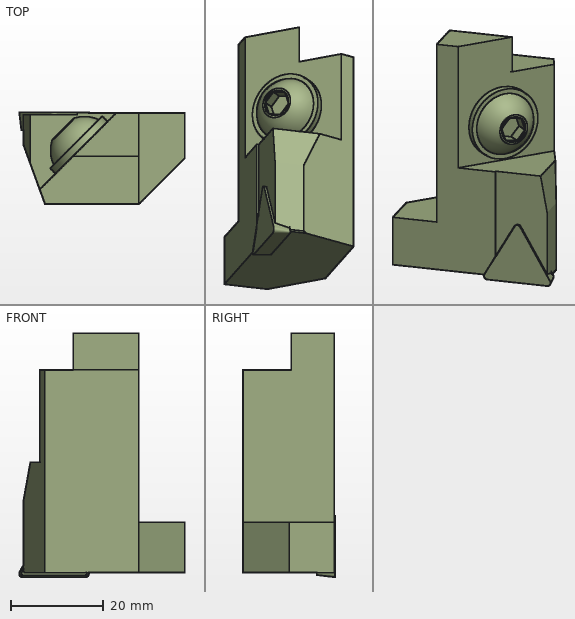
import cadquery as cq
import math


depth = 19.8
flange_length = 10.0
flange_height = 10.95
body_height = 44.0
total_height = 52.0
tenon_depth = 9.4
nose_left = -25.0
nose_face_depth = 7.0
relief_angle = 20.0
ledge_height = 24.0
ledge_left = -23.55
slant_start_height = 15.75
corner_cut_width = 0.2
corner_cut_height = 0.35
chip_recess_depth = 0.4
chip_recess_right = -13.35
front_left = nose_left + (depth - nose_face_depth) * math.tan(math.radians(relief_angle))

seat_back_x = -4.9
screw_depth = 7.55
screw_height = 32.9

collar_diameter = 16.0
collar_height = 1.65
dome_diameter = 13.9
dome_height = 4.05
dome_flat_diameter = 6.75
socket_diameter = 5.8
socket_depth = 2.95
socket_turn = -12.0
socket_chamfer = 0.15

insert_inradius = 4.7
insert_nose_radius = 0.8
insert_thickness = 4.0
insert_clearance = 7.0
insert_back = 0.15
insert_overhang = 1.0
insert_left = -26.0


def block(x_min, x_max, y_min, y_max, z_min, z_max):
    return cq.Workplane("XY").box(
        x_max - x_min, y_max - y_min, z_max - z_min, centered=False
    ).translate((x_min, y_min, z_min))


def make_holder_block():
    body = (
        cq.Workplane("XY")
        .polyline([
            (0, 0), (nose_left, 0), (nose_left, -nose_face_depth), (front_left, -depth), (0, -depth),
        ])
        .close()
        .extrude(total_height)
    )
    flange = (
        cq.Workplane("XY")
        .polyline([(0, 0), (flange_length, 0), (flange_length, flange_length - depth), (0, -depth)])
        .close()
        .extrude(flange_height)
    )
    above_body = block(nose_left, 0, -depth, -tenon_depth, body_height, total_height)
    return body.cut(above_body).union(flange)


def cut_inclined_seat(holder):
    seat_run = seat_back_x - nose_left
    space = (
        cq.Workplane("XY")
        .workplane(offset=ledge_height)
        .polyline([(seat_back_x, 0), (nose_left, 0), (nose_left, -seat_run)])
        .close()
        .extrude(total_height - ledge_height)
    )
    return holder.cut(space)


def cut_nose(holder):
    lean = (
        cq.Workplane("XZ")
        .polyline([(nose_left, slant_start_height), (nose_left, ledge_height), (ledge_left, ledge_height)])
        .close()
        .extrude(depth)
    )
    corner = (
        cq.Workplane("XZ")
        .polyline([(nose_left, 0), (nose_left, corner_cut_height), (nose_left + corner_cut_width, 0)])
        .close()
        .extrude(depth)
    )
    chip_recess = block(nose_left, chip_recess_right, -chip_recess_depth, 0, 0, ledge_height)
    return holder.cut(lean).cut(corner).cut(chip_recess)


def make_screw_head():
    seat = cq.Plane(
        origin=(seat_back_x - screw_depth, -screw_depth, screw_height),
        xDir=(-1, -1, 0),
        normal=(-1, 1, 0),
    )
    dome_radius = dome_diameter / 2
    flat_radius = dome_flat_diameter / 2
    centre = (dome_height**2 + flat_radius**2 - dome_radius**2) / (2 * dome_height)
    sphere_radius = math.hypot(dome_radius, centre)
    middle = dome_height / 2
    middle_radius = math.sqrt(sphere_radius**2 - (middle - centre) ** 2)
    head_height = collar_height + dome_height

    collar = cq.Workplane(seat).circle(collar_diameter / 2).extrude(collar_height)
    dome = (
        cq.Workplane(cq.Plane(seat.origin, seat.xDir, -seat.yDir))
        .moveTo(0, collar_height)
        .lineTo(dome_radius, collar_height)
        .threePointArc((middle_radius, collar_height + middle), (flat_radius, head_height))
        .lineTo(0, head_height)
        .close()
        .revolve(360, (0, 0), (0, 1))
    )
    socket = (
        cq.Workplane(seat)
        .workplane(offset=head_height - socket_depth)
        .transformed(rotate=(0, 0, socket_turn))
        .polygon(6, socket_diameter)
        .extrude(socket_depth)
    )
    countersink = (
        cq.Workplane(seat)
        .workplane(offset=head_height)
        .circle(socket_diameter / 2)
        .extrude(-socket_chamfer, taper=45)
    )
    return collar.union(dome).cut(socket).cut(countersink)


def make_insert():
    nose_triangle_inradius = insert_inradius - insert_nose_radius
    half_side = nose_triangle_inradius * math.sqrt(3)
    centre_x = insert_left + insert_nose_radius + half_side
    centre_z = insert_inradius - insert_overhang
    return (
        cq.Workplane("XZ", origin=(centre_x, insert_back, centre_z))
        .polyline([
            (-half_side, -nose_triangle_inradius),
            (half_side, -nose_triangle_inradius),
            (0, 2 * nose_triangle_inradius),
        ])
        .close()
        .offset2D(insert_nose_radius)
        .extrude(insert_thickness, taper=insert_clearance)
    )


insert = make_insert()

holder = cut_nose(cut_inclined_seat(make_holder_block()))
holder = holder.union(make_screw_head()).cut(insert)

result = cq.Compound.makeCompound([holder.val(), insert.val()])